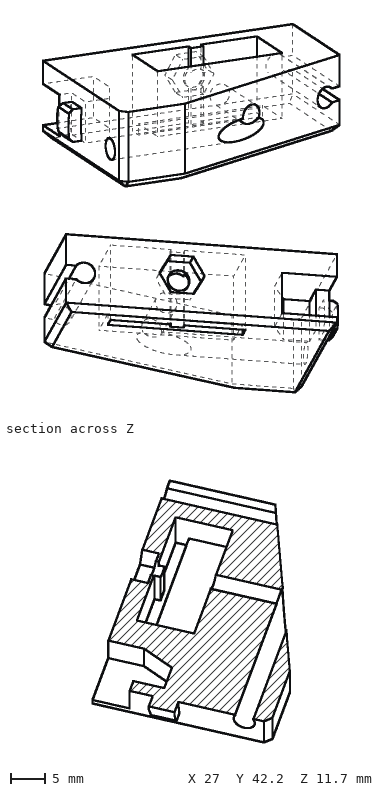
import cadquery as cq
import math

BODY_WIDTH = 27.0
BODY_LENGTH = 40.2
BODY_HEIGHT = 11.7
BACK_WIDTH = 16.0
STRAIGHT_SIDE_LENGTH = 10.1
EDGE_CHAMFER = 1.0

HOLE_DIAMETER = 3.2

WELL_X = 3.0
WELL_Y = 13.0
WELL_WIDTH = 8.6
WELL_LENGTH = 20.0
WELL_DEPTH = 10.0
SLIT_WIDTH = 2.0
RIB_DEPTH = 0.9
RIB_WIDTH = 2.0

CROSS_HOLE_Y = WELL_Y + WELL_LENGTH / 2
CROSS_HOLE_Z = 6.75
NUT_ACROSS_FLATS = 5.8
NUT_DEPTH = 2.5

CLIP_HOLE_Y = 37.5
CLIP_HOLE_Z = BODY_HEIGHT / 2
CLIP_SLOT_WIDTH = 2.1

LONG_HOLE_X = 23.0
LONG_HOLE_Z = 5.0

POCKET_Z = 1.85
POCKET_HEIGHT = 6.3
POCKET_MOUTH_WIDTH = 5.6
POCKET_BACK_WIDTH = 5.45
POCKET_LENGTH = 8.15
LIP_THICKNESS = 2.0
END_WALL_LENGTH = 3.9
SLANT_ANGLE = 25.0

PIN_X = 9.08
PIN_WIDTH = 4.1
PIN_HEIGHT = 5.0
PIN_LENGTH = 2.0
PIN_ARC_RISE = 0.85
PIN_HOLLOW = 0.15
PIN_CHAMFER = 0.6
PIN_OVERLAP = 0.5


def make_block(x, y, z, width, length, height):
    """Box with its lowest corner at (x, y, z)."""
    return cq.Workplane("XY").box(width, length, height, centered=False).translate((x, y, z))


def make_body():
    outline = [
        (0, 0),
        (BODY_WIDTH, 0),
        (BODY_WIDTH, STRAIGHT_SIDE_LENGTH),
        (BACK_WIDTH, BODY_LENGTH),
        (0, BODY_LENGTH),
    ]
    block = cq.Workplane("XY").polyline(outline).close().extrude(BODY_HEIGHT)
    front_corner = cq.selectors.NearestToPointSelector((BODY_WIDTH, 0, BODY_HEIGHT / 2))
    chamfered_edges = block.faces("<Z").edges().add(block.edges(front_corner))
    return chamfered_edges.chamfer(EDGE_CHAMFER)


def make_well():
    well_floor = BODY_HEIGHT - WELL_DEPTH
    well = make_block(WELL_X, WELL_Y, well_floor, WELL_WIDTH, WELL_LENGTH, WELL_DEPTH)
    slit = make_block(WELL_X, WELL_Y, 0, SLIT_WIDTH, WELL_LENGTH, BODY_HEIGHT)
    rib_y = CROSS_HOLE_Y - RIB_WIDTH / 2
    rib = make_block(WELL_X, rib_y, 0, RIB_DEPTH, RIB_WIDTH, BODY_HEIGHT)
    return well.union(slit).cut(rib)


def make_cross_hole(y, z):
    """Cylinder running along X through the whole body."""
    return cq.Workplane("YZ").center(y, z).circle(HOLE_DIAMETER / 2).extrude(BODY_WIDTH)


def make_nut_pocket():
    across_corners = NUT_ACROSS_FLATS / math.cos(math.pi / 6)
    sketch = cq.Workplane("YZ").center(CROSS_HOLE_Y, CROSS_HOLE_Z)
    return sketch.polygon(6, across_corners).extrude(NUT_DEPTH)


def make_clip_slot():
    slot_z = CLIP_HOLE_Z - CLIP_SLOT_WIDTH / 2
    slot_length = BODY_LENGTH - CLIP_HOLE_Y
    return make_block(0, CLIP_HOLE_Y, slot_z, BODY_WIDTH, slot_length, CLIP_SLOT_WIDTH)


def make_long_hole():
    start = cq.Workplane("XZ").center(LONG_HOLE_X, LONG_HOLE_Z)
    return start.circle(HOLE_DIAMETER / 2).extrude(-BODY_LENGTH)


def make_corner_pocket():
    slant_end_y = LIP_THICKNESS + END_WALL_LENGTH
    slant_run = (POCKET_LENGTH - slant_end_y) / math.tan(math.radians(SLANT_ANGLE))
    end_wall_x = POCKET_BACK_WIDTH + slant_run
    outline = [
        (0, 0),
        (POCKET_MOUTH_WIDTH, 0),
        (POCKET_MOUTH_WIDTH, LIP_THICKNESS),
        (end_wall_x, LIP_THICKNESS),
        (end_wall_x, slant_end_y),
        (POCKET_BACK_WIDTH, POCKET_LENGTH),
        (0, POCKET_LENGTH),
    ]
    sketch = cq.Workplane("XY").workplane(offset=POCKET_Z).polyline(outline).close()
    return sketch.extrude(POCKET_HEIGHT)


def make_pin():
    middle_z = BODY_HEIGHT / 2
    top = middle_z + PIN_HEIGHT / 2
    bottom = middle_z - PIN_HEIGHT / 2
    right = PIN_X + PIN_WIDTH
    pin = (
        cq.Workplane("XZ")
        .workplane(offset=-PIN_OVERLAP)
        .moveTo(PIN_X + PIN_ARC_RISE, bottom)
        .threePointArc((PIN_X, middle_z), (PIN_X + PIN_ARC_RISE, top))
        .lineTo(right, top)
        .threePointArc((right - PIN_HOLLOW, middle_z), (right, bottom))
        .close()
        .extrude(PIN_LENGTH + PIN_OVERLAP)
    )
    tip_y = -PIN_LENGTH
    bevelled_outline = [
        (PIN_OVERLAP, bottom),
        (tip_y + PIN_CHAMFER, bottom),
        (tip_y, bottom + PIN_CHAMFER),
        (tip_y, top - PIN_CHAMFER),
        (tip_y + PIN_CHAMFER, top),
        (PIN_OVERLAP, top),
    ]
    bevelled_bar = cq.Workplane("YZ").polyline(bevelled_outline).close().extrude(BODY_WIDTH)
    return pin.intersect(bevelled_bar)


body = make_body()
body = body.cut(make_well())
body = body.cut(make_cross_hole(CROSS_HOLE_Y, CROSS_HOLE_Z))
body = body.cut(make_nut_pocket())
body = body.cut(make_cross_hole(CLIP_HOLE_Y, CLIP_HOLE_Z))
body = body.cut(make_clip_slot())
body = body.cut(make_long_hole())
body = body.cut(make_corner_pocket())
result = body.union(make_pin())